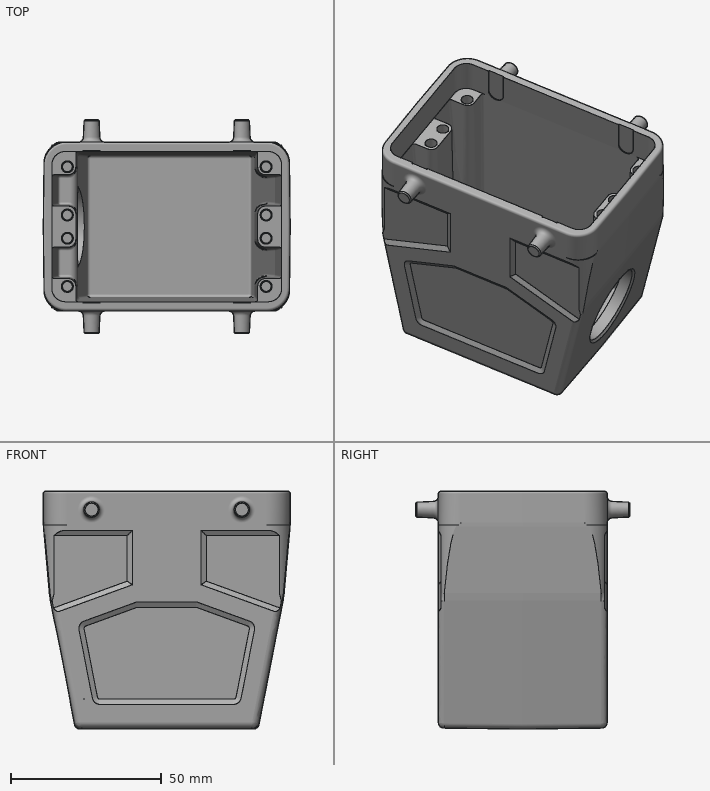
import cadquery as cq
import math

HEIGHT = 79.0
HALF_LENGTH = 41.0
HALF_WIDTH = 28.05
PARTING_DRAFT = 0.3
DRAFT_SLOPE = PARTING_DRAFT / HALF_WIDTH

UPPER_BEND_Z = 67.7
LOWER_BEND_Z = 43.8
LOWER_BEND_X = 38.9
FOOT_X = 30.3
UPPER_BLEND = 0.65
LOWER_BLEND = 1.2
UPPER_CORNER_RADIUS = 7.55
MIDDLE_CORNER_RADIUS = 7.0
LOWER_CORNER_RADIUS = 2.05
FOOT_FILLET = 2.0
RIM_FILLET = 0.9

WALL = 2.9
RIM_WALL_Y = 3.1
FLOOR_Z = 2.9
LEDGE_Z = 67.3
FLOOR_HALF_WIDTH = 23.45
CAVITY_CORNER_RADIUS = 4.5
CAVITY_FOOT_RADIUS = 1.0

POST_TOP_Z = LEDGE_Z
POST_FACE_X = 30.2
POST_DRAFT = 1.0
POST_RADIUS = 2.55
MIDDLE_POST_HALF_WIDTH = 6.8
CORNER_POST_Y = 17.2
SHOULDER_Z = 42.6
SHOULDER_FILLET = 2.3
ROOT_FILLET = 0.8
ENTRY_WALL = 4.8
SCREW_X = 33.0
SCREW_YS = (3.85, 19.85)
SCREW_RADIUS = 2.0
SCREW_FOOT_RADIUS = 1.6
SCREW_DEPTH = 9.8

ENTRY_Z = 21.7
ENTRY_RADIUS = 13.4
ENTRY_CHAMFER = 0.8
ENTRY_DEPTH = 20.5

PIN_X = 24.9
PIN_Z = 72.8
PIN_TIP_Y = 35.5
PIN_ROOT_RADIUS = 2.8
PIN_TIP_RADIUS = 2.55
PIN_CHAMFER = 0.4
PIN_FLARE = 1.6
PIN_EMBED = 0.8
RELIEF_WIDTH = 5.6
RELIEF_DEPTH = 0.3
RELIEF_FOOT_Z = 67.0

PANEL_DEPTH = 1.0
PANEL_WALL_RUN = 1.7
PANEL_SLOPE = math.tan(math.radians(20))
LOWER_PANEL_TOP = (10.1, 42.15)
LOWER_PANEL_SHOULDER_X = 29.5
LOWER_PANEL_FOOT = (24.3, 8.2)
LOWER_PANEL_RADIUS = 2.6
UPPER_PANEL_INNER_X = 11.4
UPPER_PANEL_TOP_Z = 65.9
UPPER_PANEL_INNER_Z = 47.9
UPPER_PANEL_OUTER_X = 42.6

MID_SLOPE = (HALF_LENGTH - LOWER_BEND_X) / (UPPER_BEND_Z - LOWER_BEND_Z)
LOWER_SLOPE = (LOWER_BEND_X - FOOT_X) / LOWER_BEND_Z
CLEARANCE = 8.2


def section(half_x, half_y, radius, z, slope=0.0):
    """Horizontal rounded outline whose end faces fall back from y = 0 at `slope`."""
    side_x = half_x - slope * (half_y - radius)
    mid_arc = radius * (1 - math.sqrt(0.5))
    flat_x = side_x - radius
    flat_y = half_y - radius
    return (
        cq.Workplane("XY", origin=(0, 0, z))
        .moveTo(half_x, 0)
        .lineTo(side_x, flat_y)
        .threePointArc((side_x - mid_arc, half_y - mid_arc), (flat_x, half_y))
        .lineTo(-flat_x, half_y)
        .threePointArc((mid_arc - side_x, half_y - mid_arc), (-side_x, flat_y))
        .lineTo(-half_x, 0)
        .lineTo(-side_x, -flat_y)
        .threePointArc((mid_arc - side_x, mid_arc - half_y), (-flat_x, -half_y))
        .lineTo(flat_x, -half_y)
        .threePointArc((side_x - mid_arc, mid_arc - half_y), (side_x, -flat_y))
        .close()
        .wire()
        .val()
    )


def ruled(sections):
    return cq.Workplane(cq.Solid.makeLoft(sections, True))


def end_x(z):
    """Half length of the outside at height z, before the bends are blended."""
    if z >= UPPER_BEND_Z:
        return HALF_LENGTH
    if z >= LOWER_BEND_Z:
        return LOWER_BEND_X + MID_SLOPE * (z - LOWER_BEND_Z)
    return FOOT_X + LOWER_SLOPE * z


def wedge_section(half_x, z):
    """Horizontal outline wider than the body, with only the sloping end faces."""
    far_y = HALF_WIDTH + CLEARANCE
    far_x = half_x - DRAFT_SLOPE * far_y
    return cq.Wire.makePolygon(
        [
            cq.Vector(x, y, z)
            for x, y in (
                (half_x, 0), (far_x, far_y), (-far_x, far_y), (-half_x, 0), (-far_x, -far_y), (far_x, -far_y)
            )
        ],
        close=True,
    )


def outer_body():
    foot_top = LOWER_BEND_Z - LOWER_BLEND
    middle_foot = LOWER_BEND_Z + LOWER_BLEND
    middle_top = UPPER_BEND_Z - UPPER_BLEND
    top_foot = UPPER_BEND_Z + UPPER_BLEND

    def upright(radius, z0, z1):
        return ruled([section(HALF_LENGTH, HALF_WIDTH, radius, z, DRAFT_SLOPE) for z in (z0, z1)])

    top = upright(UPPER_CORNER_RADIUS, UPPER_BEND_Z, HEIGHT).faces(">Z").edges().fillet(RIM_FILLET)
    middle = upright(MIDDLE_CORNER_RADIUS, middle_foot, UPPER_BEND_Z)
    slopes = [wedge_section(end_x(z), z) for z in (middle_foot, middle_top, top_foot)]
    slopes.append(wedge_section(HALF_LENGTH + CLEARANCE, HEIGHT))
    upper_body = top.union(middle).intersect(ruled(slopes))
    foot_outlines = [
        section(end_x(z), HALF_WIDTH, LOWER_CORNER_RADIUS, z, DRAFT_SLOPE) for z in (0, foot_top)
    ]
    blend = ruled([foot_outlines[1], upper_body.faces("<Z").wires().val()])
    return round_underside(ruled(foot_outlines).union(blend).union(upper_body))


def round_underside(body):
    """Makes the underside a very flat V with its ridge on y = 0, and rounds its rim."""
    v_cut = (
        cq.Workplane("YZ", origin=(-HALF_LENGTH - CLEARANCE, 0, 0))
        .polyline([
            (0, 0),
            (HALF_WIDTH, PARTING_DRAFT),
            (HALF_WIDTH, -CLEARANCE),
            (-HALF_WIDTH, -CLEARANCE),
            (-HALF_WIDTH, PARTING_DRAFT),
        ])
        .close()
        .extrude(2 * (HALF_LENGTH + CLEARANCE))
    )
    body = body.cut(v_cut)
    low_zone = cq.selectors.BoxSelector(
        (-HALF_LENGTH, -HALF_WIDTH - 0.8, -0.8), (HALF_LENGTH, HALF_WIDTH + 0.8, 2 * PARTING_DRAFT), True
    )
    rim = body.edges(low_zone).filter(lambda edge: math.hypot(edge.Center().x, edge.Center().y) > 0.8)
    return rim.fillet(FOOT_FILLET)


def post(x0, x1, y0, y1):
    """Post standing on the end wall, widening downwards."""
    return (
        cq.Workplane("XY", origin=((x0 + x1) / 2, (y0 + y1) / 2, POST_TOP_Z))
        .transformed(rotate=(180, 0, 0))
        .sketch()
        .rect(x1 - x0, y1 - y0)
        .vertices()
        .fillet(POST_RADIUS)
        .finalize()
        .extrude(POST_TOP_Z, taper=-POST_DRAFT)
    )


def posts():
    """The three posts on the +X end wall."""
    back_x = HALF_LENGTH + CLEARANCE
    middle = post(POST_FACE_X, back_x, -MIDDLE_POST_HALF_WIDTH, MIDDLE_POST_HALF_WIDTH)
    corner = post(POST_FACE_X, back_x, CORNER_POST_Y, HALF_WIDTH + CLEARANCE)
    return middle.union(corner).union(corner.mirror("XZ"))


def entry_wall():
    """Thick wall on the -X side that carries the cable entry."""
    face_slope = math.tan(math.radians(POST_DRAFT))
    face_foot_x = POST_FACE_X - POST_TOP_Z * face_slope
    wall_foot_x = FOOT_X - ENTRY_WALL
    knee_z = (face_foot_x - wall_foot_x) / (LOWER_SLOPE - face_slope)
    back_x = HALF_LENGTH + CLEARANCE
    return (
        cq.Workplane("XZ", origin=(0, HALF_WIDTH, 0))
        .moveTo(-back_x, 0)
        .lineTo(-wall_foot_x, 0)
        .lineTo(-face_foot_x - face_slope * knee_z, knee_z)
        .lineTo(-face_foot_x - face_slope * SHOULDER_Z, SHOULDER_Z)
        .lineTo(-back_x, SHOULDER_Z)
        .close()
        .extrude(2 * HALF_WIDTH)
        .faces(">Z")
        .edges(">X")
        .fillet(SHOULDER_FILLET)
    )


def cavity():
    top_y = HALF_WIDTH - RIM_WALL_Y
    top_x = HALF_LENGTH - WALL
    floor_x = FOOT_X - WALL + LOWER_SLOPE * FLOOR_Z
    right_ends = [(floor_x, FLOOR_Z), (LOWER_BEND_X - WALL, LOWER_BEND_Z), (end_x(LEDGE_Z) - WALL, LEDGE_Z)]
    left_ends = [(-x, z) for x, z in reversed(right_ends)]
    room = (
        cq.Workplane("XZ", origin=(0, HALF_WIDTH, 0))
        .polyline(right_ends + left_ends)
        .close()
        .extrude(2 * HALF_WIDTH)
    )
    drafted_sides = (
        cq.Workplane("YZ", origin=(-HALF_LENGTH, 0, 0))
        .polyline([
            (-FLOOR_HALF_WIDTH, FLOOR_Z), (FLOOR_HALF_WIDTH, FLOOR_Z), (top_y, LEDGE_Z), (-top_y, LEDGE_Z)
        ])
        .close()
        .extrude(2 * HALF_LENGTH)
    )
    room = room.intersect(drafted_sides).cut(entry_wall())
    room = room.faces("<Z").edges().fillet(CAVITY_FOOT_RADIUS)
    right_posts = posts()
    room = room.cut(right_posts).cut(right_posts.mirror("YZ"))
    room = fillet_roots(room)
    mouth = (
        cq.Workplane("XY", origin=(0, 0, LEDGE_Z))
        .rect(2 * top_x, 2 * top_y)
        .extrude(HEIGHT - LEDGE_Z)
        .edges("|Z")
        .fillet(CAVITY_CORNER_RADIUS)
    )
    return room.union(mouth)


def fillet_roots(room):
    """Rounds where the posts meet the end walls, the side walls and the shoulder."""
    def on_wall(edge):
        centre = edge.Center()
        steep = edge.BoundingBox().zlen > 0.8
        on_end_wall = abs(centre.x) > SCREW_X or edge.geomType() == "ELLIPSE"
        on_side_wall = abs(centre.y) > FLOOR_HALF_WIDTH and centre.z > 2 * FLOOR_Z
        return steep and (on_end_wall or on_side_wall)

    shoulder_zone = cq.selectors.BoxSelector(
        (-HALF_LENGTH, -HALF_WIDTH, SHOULDER_Z - 0.1), (-POST_FACE_X, HALF_WIDTH, SHOULDER_Z + 0.1)
    )
    wall_roots = room.edges().filter(on_wall)
    shoulder_roots = room.faces(shoulder_zone).edges("not >X")
    return wall_roots.add(shoulder_roots).fillet(ROOT_FILLET)


def entry_hole():
    axis_tilt = math.atan(LOWER_SLOPE)
    inward = cq.Vector(math.cos(axis_tilt), 0, math.sin(axis_tilt))
    plane = cq.Plane(origin=(-end_x(ENTRY_Z), 0, ENTRY_Z), xDir=(0, 1, 0), normal=inward)
    bore = cq.Workplane(plane).circle(ENTRY_RADIUS).extrude(ENTRY_DEPTH)
    bevel = cq.Workplane(plane).circle(ENTRY_RADIUS + ENTRY_CHAMFER).extrude(ENTRY_CHAMFER, taper=45)
    return bore.union(bevel)


def screw_hole(x, y):
    taper = math.degrees(math.atan((SCREW_RADIUS - SCREW_FOOT_RADIUS) / SCREW_DEPTH))
    return (
        cq.Workplane("XY", origin=(x, y, POST_TOP_Z))
        .transformed(rotate=(180, 0, 0))
        .circle(SCREW_RADIUS)
        .extrude(SCREW_DEPTH, taper=taper)
    )


def pin(x):
    """Pin on the +Y side with a flared root."""
    flare_y = HALF_WIDTH + PIN_FLARE
    arc = PIN_FLARE * (1 - math.sqrt(0.5))
    return (
        cq.Workplane("XY", origin=(x, 0, PIN_Z))
        .moveTo(0, HALF_WIDTH - PIN_EMBED)
        .lineTo(PIN_ROOT_RADIUS + PIN_FLARE, HALF_WIDTH - PIN_EMBED)
        .lineTo(PIN_ROOT_RADIUS + PIN_FLARE, HALF_WIDTH)
        .threePointArc((PIN_ROOT_RADIUS + arc, HALF_WIDTH + arc), (PIN_ROOT_RADIUS, flare_y))
        .lineTo(PIN_TIP_RADIUS, PIN_TIP_Y - PIN_CHAMFER)
        .lineTo(PIN_TIP_RADIUS - PIN_CHAMFER, PIN_TIP_Y)
        .lineTo(0, PIN_TIP_Y)
        .close()
        .revolve(360, (0, 0), (0, 1))
    )


def pin_relief(x):
    """Round-ended shallow groove in the inside face behind a +Y pin."""
    radius = RELIEF_WIDTH / 2
    floor_y = HALF_WIDTH - RIM_WALL_Y + RELIEF_DEPTH
    return (
        cq.Workplane("XZ", origin=(x, floor_y, 0))
        .moveTo(-radius, HEIGHT)
        .lineTo(-radius, RELIEF_FOOT_Z + radius)
        .threePointArc((0, RELIEF_FOOT_Z), (radius, RELIEF_FOOT_Z + radius))
        .lineTo(radius, HEIGHT)
        .close()
        .extrude(2 * RELIEF_DEPTH)
    )


def panel(outline, rounded):
    """Recess in the -Y side; `outline` holds (x, z) points, `rounded` picks the corners to round."""
    inward = cq.Plane(origin=(0, -HALF_WIDTH, 0), xDir=(-1, 0, 0), normal=(0, 1, 0))
    shape = cq.Sketch().polygon([(-x, z) for x, z in outline + outline[:1]])
    if rounded:
        shape = shape.vertices(rounded).fillet(LOWER_PANEL_RADIUS)
    wall_angle = math.degrees(math.atan(PANEL_WALL_RUN / PANEL_DEPTH))
    return cq.Workplane(inward).placeSketch(shape.reset()).extrude(PANEL_DEPTH, taper=wall_angle)


def lower_panel():
    top_x, top_z = LOWER_PANEL_TOP
    foot_x, foot_z = LOWER_PANEL_FOOT
    shoulder_z = top_z - PANEL_SLOPE * (LOWER_PANEL_SHOULDER_X - top_x)
    right_side = [(foot_x, foot_z), (LOWER_PANEL_SHOULDER_X, shoulder_z), (top_x, top_z)]
    left_side = [(-x, z) for x, z in reversed(right_side)]
    return panel(right_side + left_side, "not >Y")


def upper_panel():
    """Recess on the +X half of the -Y side, running out through the body corner."""
    foot_z = UPPER_PANEL_INNER_Z - PANEL_SLOPE * (UPPER_PANEL_OUTER_X - UPPER_PANEL_INNER_X)
    outline = [
        (UPPER_PANEL_INNER_X, UPPER_PANEL_INNER_Z),
        (UPPER_PANEL_OUTER_X, foot_z),
        (UPPER_PANEL_OUTER_X, UPPER_PANEL_TOP_Z),
        (UPPER_PANEL_INNER_X, UPPER_PANEL_TOP_Z),
    ]
    return panel(outline, None)


result = outer_body()

right_panel = upper_panel()
for recess in (lower_panel(), right_panel, right_panel.mirror("YZ")):
    result = result.cut(recess).cut(recess.mirror("XZ"))

for pin_x in (-PIN_X, PIN_X):
    result = result.union(pin(pin_x)).union(pin(pin_x).mirror("XZ"))

result = result.cut(cavity())

for pin_x in (-PIN_X, PIN_X):
    result = result.cut(pin_relief(pin_x)).cut(pin_relief(pin_x).mirror("XZ"))

result = result.cut(entry_hole())

for screw_x in (-SCREW_X, SCREW_X):
    for screw_y in SCREW_YS:
        result = result.cut(screw_hole(screw_x, screw_y)).cut(screw_hole(screw_x, -screw_y))